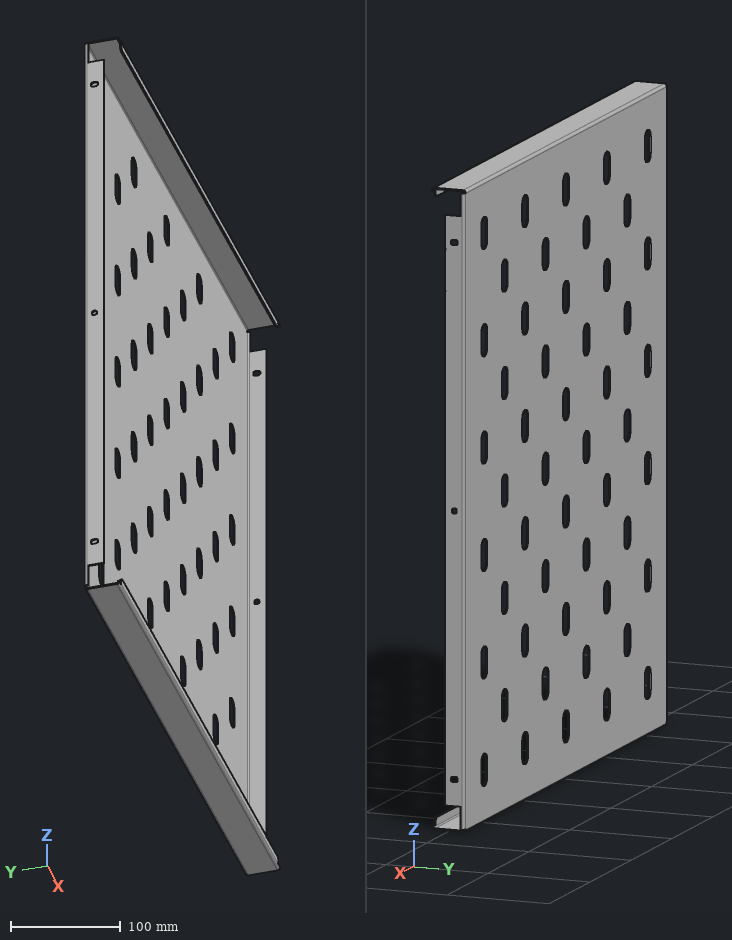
import cadquery as cq

WIDTH = 498.0
DEPTH = 33.0
HEIGHT = 598.0
SHEET = 1.5
BEND_INNER = 1.2
BEND_OUTER = BEND_INNER + SHEET

BACK_Y = DEPTH / 2
FRONT_Y = -DEPTH / 2
HALF_WIDTH = WIDTH / 2
HALF_HEIGHT = HEIGHT / 2

END_FLANGE_INSET = 3.0
LIP_HEIGHT = 10.0
LIP_INSET = 9.0
LIP_CORNER_RADIUS = 3.0
LIP_ROOT_HEIGHT = 3.5

SIDE_FLANGE_DEPTH = 19.0
SIDE_FLANGE_END_GAP = 24.0
SIDE_STUB_DEPTH = 4.0

SLOT_PITCH = 100.0
SLOT_WIDTH = 15.0
SLOT_LENGTH = 30.0
UPRIGHT_ANGLE = 90.0
WIDE_GRID = (5, 6)
NARROW_GRID = (4, 5)

FIXING_SETBACK = 10.0
FIXING_Y = BACK_Y - FIXING_SETBACK
FIXING_DIAMETER = 5.0
FIXING_SLOT_LENGTH = 7.0
FIXING_SLOT_WIDTH = 5.0
FIXING_SLOT_Z = 250.0


def box(x_min, x_max, y_min, y_max, z_min, z_max):
    """Box between two opposite corners."""
    size = (x_max - x_min, y_max - y_min, z_max - z_min)
    return cq.Workplane("XY").box(*size, centered=False).translate((x_min, y_min, z_min))


def make_panel():
    """Flat back panel between the four bends."""
    return box(
        BEND_OUTER - HALF_WIDTH,
        HALF_WIDTH - BEND_OUTER,
        BACK_Y - SHEET,
        BACK_Y,
        BEND_OUTER - HALF_HEIGHT,
        HALF_HEIGHT - BEND_OUTER,
    )


def make_top_flange():
    """Top flange with its back bend, front bend and return lip."""
    half_length = HALF_WIDTH - END_FLANGE_INSET
    outer = box(-half_length, half_length, FRONT_Y, BACK_Y, HALF_HEIGHT - LIP_HEIGHT, HALF_HEIGHT)
    outer = outer.edges("|X and >Z").fillet(BEND_OUTER)
    inner = box(
        -half_length,
        half_length,
        FRONT_Y + SHEET,
        BACK_Y - SHEET,
        HALF_HEIGHT - LIP_HEIGHT,
        HALF_HEIGHT - SHEET,
    )
    inner = inner.edges("|X and >Z").fillet(BEND_INNER)
    flange = outer.cut(inner)

    lip_half = HALF_WIDTH - LIP_INSET
    lip_bottom = HALF_HEIGHT - LIP_HEIGHT
    lip_root = HALF_HEIGHT - LIP_ROOT_HEIGHT
    for side in (-1, 1):
        end_cut = (
            cq.Workplane("XZ", origin=(0, FRONT_Y + SHEET, 0))
            .moveTo(side * (lip_half - LIP_CORNER_RADIUS), lip_bottom)
            .radiusArc((side * lip_half, lip_bottom + LIP_CORNER_RADIUS), -side * LIP_CORNER_RADIUS)
            .lineTo(side * lip_half, lip_root)
            .lineTo(side * HALF_WIDTH, lip_root)
            .lineTo(side * HALF_WIDTH, lip_bottom)
            .close()
            .extrude(SHEET)
        )
        flange = flange.cut(end_cut)
    return flange


def make_right_flange():
    """Right side flange with its bend; only a low stub remains near the ends."""
    stub_end = HALF_HEIGHT - BEND_OUTER
    flange_end = HALF_HEIGHT - SIDE_FLANGE_END_GAP
    flange_front = BACK_Y - SIDE_FLANGE_DEPTH
    inner_edge = HALF_WIDTH - BEND_OUTER - BEND_INNER
    outer = box(inner_edge, HALF_WIDTH, flange_front, BACK_Y, -stub_end, stub_end)
    outer = outer.edges("|Z and >X and >Y").fillet(BEND_OUTER)
    inner = box(
        inner_edge, HALF_WIDTH - SHEET, flange_front, BACK_Y - SHEET, -stub_end, stub_end
    )
    inner = inner.edges("|Z and >X and >Y").fillet(BEND_INNER)
    flange = outer.cut(inner)
    for z_min, z_max in ((flange_end, stub_end), (-stub_end, -flange_end)):
        notch = box(inner_edge, HALF_WIDTH, flange_front, BACK_Y - SIDE_STUB_DEPTH, z_min, z_max)
        flange = flange.cut(notch)
    return flange


def slot_grid(counts):
    """Upright slots on a centred grid, cutting through the panel."""
    columns, rows = counts
    return (
        cq.Workplane("XZ", origin=(0, BACK_Y, 0))
        .rarray(SLOT_PITCH, SLOT_PITCH, columns, rows)
        .slot2D(SLOT_LENGTH, SLOT_WIDTH, UPRIGHT_ANGLE)
        .extrude(SHEET)
    )


def make_fixing_holes():
    """Cutters for the round middle hole and the two end slots of both side flanges."""
    plane = cq.Workplane("YZ", origin=(-HALF_WIDTH, 0, 0))
    middle = plane.center(FIXING_Y, 0).circle(FIXING_DIAMETER / 2).extrude(WIDTH)
    end_slots = (
        plane.pushPoints([(FIXING_Y, -FIXING_SLOT_Z), (FIXING_Y, FIXING_SLOT_Z)])
        .slot2D(FIXING_SLOT_LENGTH, FIXING_SLOT_WIDTH)
        .extrude(WIDTH)
    )
    return middle.union(end_slots)


top_flange = make_top_flange()
right_flange = make_right_flange()
result = (
    make_panel()
    .union(top_flange)
    .union(top_flange.mirror("XY"))
    .union(right_flange)
    .union(right_flange.mirror("YZ"))
    .cut(slot_grid(WIDE_GRID))
    .cut(slot_grid(NARROW_GRID))
    .cut(make_fixing_holes())
)